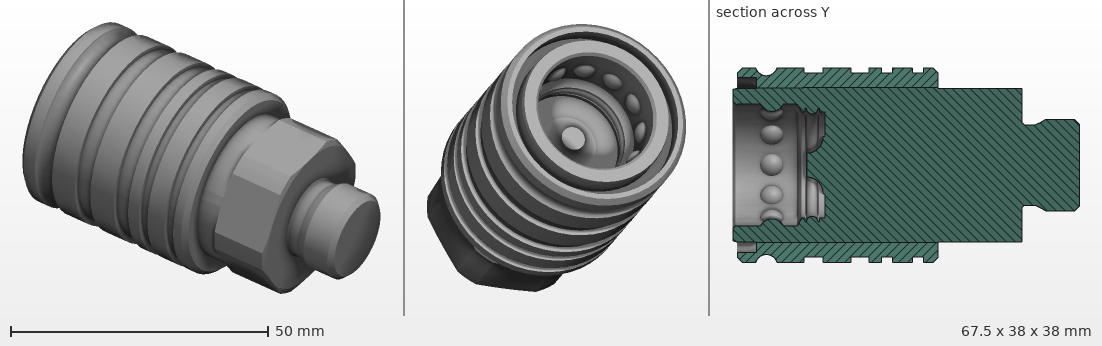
import cadquery as cq
import math

sleeve_front = 0.9
sleeve_back = 39.95
sleeve_diameter = 38.0
sleeve_radius = sleeve_diameter / 2
end_chamfer = 1.0
band_grooves = [(13.9, 17.55), (23.1, 26.45), (28.95, 31.0), (35.0, 37.05)]
band_groove_depth = 1.0
grip_centre = 6.55
grip_half_width = 2.0
grip_depth = 1.55
recess_radius = 17.0
recess_depth = 3.7

barrel_diameter = 30.05
barrel_radius = barrel_diameter / 2
lip_radius = 14.8
lip_length = sleeve_front
hex_front = 44.5
hex_back = 56.35
hex_apothem = 15.0
hex_corner_radius = 16.2
hex_chamfer_length = 0.35
tail_end = 67.5
tail_root_radius = 7.9
tail_root_chamfer = 0.35
tail_radius = 9.0
relief_end = 58.9
taper_end = 60.95
tail_chamfer = 1.0

mouth_radius = 12.35
mouth_chamfer = 0.55
socket_radius = 11.8
cone_start = 12.55
bore_start = 13.4
bore_radius = 10.25
seal_centre = 15.45
seal_inner_radius = 9.9
seal_section_radius = 1.15
seal_groove_half_width = 1.35
seal_centre_radius = seal_inner_radius + seal_section_radius
floor_x = 17.9
valve_rim_radius = 5.7
valve_rim_height = 0.35
valve_flare_end_radius = 5.55
valve_tip_radius = 2.35
flare_radius = valve_flare_end_radius - valve_tip_radius
valve_shoulder = floor_x - valve_rim_height
valve_tip = valve_shoulder - flare_radius
ball_count = 12
ball_radius = 2.5
ball_pitch_radius = 12.9
ball_plane = 7.6


def ring(start, end, outer, inner):
    """Hollow cylinder along X from start to end."""
    return (
        cq.Workplane("YZ", origin=(start, 0, 0))
        .circle(outer)
        .circle(inner)
        .extrude(end - start)
    )


def revolve_about_x(profile):
    """Turn a closed profile, drawn as (x, radius), once around the X axis."""
    return profile.close().revolve(360, (0, 0, 0), (1, 0, 0))


def make_sleeve():
    rim_radius = sleeve_radius - end_chamfer
    recess_floor = sleeve_front + recess_depth
    profile = (
        cq.Workplane("XY")
        .moveTo(recess_floor, barrel_radius)
        .lineTo(recess_floor, recess_radius)
        .lineTo(sleeve_front, recess_radius)
        .lineTo(sleeve_front, rim_radius)
        .lineTo(sleeve_front + end_chamfer, sleeve_radius)
        .lineTo(grip_centre - grip_half_width, sleeve_radius)
        .threePointArc(
            (grip_centre, sleeve_radius - grip_depth),
            (grip_centre + grip_half_width, sleeve_radius),
        )
        .lineTo(sleeve_back - end_chamfer, sleeve_radius)
        .lineTo(sleeve_back, rim_radius)
        .lineTo(sleeve_back, barrel_radius)
    )
    sleeve = revolve_about_x(profile)
    groove_floor = sleeve_radius - band_groove_depth
    for start, end in band_grooves:
        sleeve = sleeve.cut(ring(start, end, sleeve_diameter, groove_floor))
    return sleeve


def make_turned_core():
    profile = (
        cq.Workplane("XY")
        .moveTo(0, 0)
        .lineTo(0, lip_radius)
        .lineTo(lip_length, barrel_radius)
        .lineTo(hex_front, barrel_radius)
        .lineTo(hex_front + hex_chamfer_length, hex_corner_radius)
        .lineTo(hex_back - hex_chamfer_length, hex_corner_radius)
        .lineTo(hex_back, barrel_radius)
        .lineTo(hex_back, tail_root_radius + tail_root_chamfer)
        .lineTo(hex_back + tail_root_chamfer, tail_root_radius)
        .lineTo(relief_end, tail_root_radius)
        .lineTo(taper_end, tail_radius)
        .lineTo(tail_end - tail_chamfer, tail_radius)
        .lineTo(tail_end, tail_radius - tail_chamfer)
        .lineTo(tail_end, 0)
    )
    return revolve_about_x(profile)


def cut_hex_flats(core):
    """Six flats, two of them facing up and down, along the neck and the hexagon."""
    hexagon = (
        cq.Workplane("YZ", origin=(sleeve_back, 0, 0))
        .circle(2 * hex_apothem)
        .polygon(6, 2 * hex_apothem / math.cos(math.pi / 6))
        .extrude(hex_back - sleeve_back)
    )
    return core.cut(hexagon)


def make_socket():
    """The space inside the front of the core, around the valve."""
    profile = (
        cq.Workplane("XY")
        .moveTo(0, 0)
        .lineTo(0, mouth_radius)
        .lineTo(mouth_chamfer, socket_radius)
        .lineTo(cone_start, socket_radius)
        .lineTo(bore_start, bore_radius)
        .lineTo(seal_centre - seal_groove_half_width, bore_radius)
        .lineTo(seal_centre - seal_groove_half_width, seal_centre_radius)
        .lineTo(seal_centre - seal_section_radius, seal_centre_radius)
        .threePointArc(
            (seal_centre, seal_inner_radius),
            (seal_centre + seal_section_radius, seal_centre_radius),
        )
        .lineTo(seal_centre + seal_groove_half_width, seal_centre_radius)
        .lineTo(seal_centre + seal_groove_half_width, bore_radius)
        .lineTo(floor_x, bore_radius)
        .lineTo(floor_x, valve_rim_radius)
        .lineTo(valve_shoulder, valve_rim_radius)
        .lineTo(valve_shoulder, valve_flare_end_radius)
        .radiusArc((valve_tip, valve_tip_radius), flare_radius)
        .lineTo(valve_tip, 0)
    )
    return revolve_about_x(profile)


def make_ball(index):
    angle = 2 * math.pi * index / ball_count
    centre = (
        ball_plane,
        ball_pitch_radius * math.cos(angle),
        ball_pitch_radius * math.sin(angle),
    )
    return cq.Workplane("YZ", origin=centre).sphere(ball_radius)


def make_core():
    """Taking the balls out of the socket space leaves them standing on the socket wall."""
    socket = make_socket()
    for index in range(ball_count):
        socket = socket.cut(make_ball(index))
    return cut_hex_flats(make_turned_core()).cut(socket)


sleeve = make_sleeve()
core = make_core()
result = cq.Compound.makeCompound([sleeve.val(), core.val()])